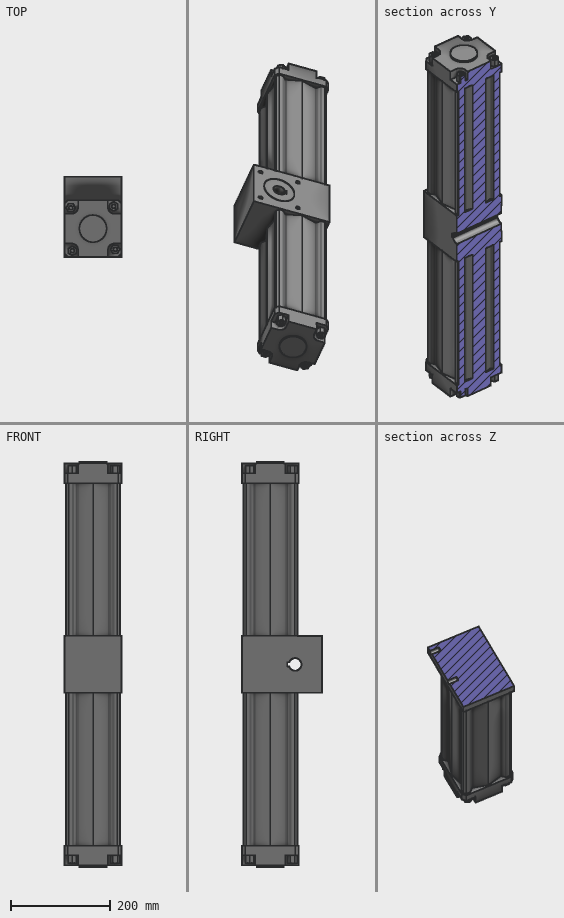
import cadquery as cq
import math

TOTAL_LENGTH = 817.0
CAP_SIDE = 115.0
CAP_HEIGHT = 40.0
CAP_CHAMFER = 7.0

DISC_DIAMETER = 54.8
DISC_HEIGHT = 3.5

POCKET_SIDE = 27.5
POCKET_DEPTH = 20.0
POCKET_RADIUS = 13.0
NUT_NEAR_OFFSET = 41.7
NUT_FAR_OFFSET = 44.8
HEX_SIDES = 6
NUT_CORNER_DIAMETER = 18.63
NUT_HEIGHT = 15.5
NUT_BORE_DIAMETER = 8.0
NUT_BORE_DEPTH = 3.0

RIDGE_PEAK = 55.0
RIDGE_SLOPE = 15.0
LAND_LEVEL = 54.0
LAND_OUTER = 49.0
GROOVE_CENTRE = 32.6
GROOVE_RADIUS = 3.0

BLOCK_WIDTH = CAP_SIDE
BLOCK_DEPTH = 162.0
BLOCK_HEIGHT = 115.0

BORE_OFFSET = 50.0
BORE_DIAMETER = 25.0
KEY_WIDTH = 8.0
KEY_REACH = 15.8
RECESS_DIAMETER = 65.0
RECESS_DEPTH = 1.0

MOUNT_SPACING = 80.0
MOUNT_DIAMETER = 8.0
MOUNT_DEPTH = 20.0

CAP_TOP = TOTAL_LENGTH / 2 - DISC_HEIGHT
CAP_BOTTOM = CAP_TOP - CAP_HEIGHT
QUARTER_TURNS = (0, 90, 180, 270)


def turned(point, degrees):
    """Turn a point of the cross-section about the barrel axis."""
    angle = math.radians(degrees)
    x, y = point
    return (
        x * math.cos(angle) - y * math.sin(angle),
        x * math.sin(angle) + y * math.cos(angle),
    )


def make_barrel():
    """Extruded tube with four shallow ridged sides, grooves and chamfered corners."""
    groove_level = RIDGE_PEAK - GROOVE_CENTRE * math.tan(math.radians(RIDGE_SLOPE))
    land_inner = GROOVE_CENTRE + LAND_LEVEL - groove_level
    side = [
        (-LAND_OUTER, -LAND_LEVEL),
        (-land_inner, -LAND_LEVEL),
        (-GROOVE_CENTRE, -groove_level),
        (0, -RIDGE_PEAK),
        (GROOVE_CENTRE, -groove_level),
        (land_inner, -LAND_LEVEL),
        (LAND_OUTER, -LAND_LEVEL),
    ]
    outline = [turned(point, degrees) for degrees in QUARTER_TURNS for point in side]
    barrel = cq.Workplane("XY").polyline(outline).close().extrude(CAP_BOTTOM, both=True)
    wall_edges = [(GROOVE_CENTRE, groove_level), (land_inner, LAND_LEVEL)]
    for degrees in QUARTER_TURNS:
        for across, out in wall_edges:
            for sign in (-1, 1):
                x, y = turned((sign * across, -out), degrees)
                edge = cq.selectors.NearestToPointSelector((x, y, 0))
                barrel = barrel.edges("|Z").edges(edge).fillet(GROOVE_RADIUS)
    return barrel


def make_nut():
    """Hexagonal tie rod nut, slightly off the cap diagonal, standing on the pocket floor."""
    nut = cq.Workplane("XY").polygon(HEX_SIDES, NUT_CORNER_DIAMETER).extrude(NUT_HEIGHT)
    nut = nut.faces(">Z").workplane().hole(NUT_BORE_DIAMETER, NUT_BORE_DEPTH)
    return nut.translate((NUT_FAR_OFFSET, -NUT_NEAR_OFFSET, CAP_TOP - POCKET_DEPTH))


def make_pocket():
    """Cutter for one open corner pocket with a rounded inner corner."""
    cutter_side = 2 * POCKET_SIDE
    cutter = cq.Workplane("XY").rect(cutter_side, cutter_side).extrude(POCKET_DEPTH)
    cutter = cutter.edges("|Z").fillet(POCKET_RADIUS)
    return cutter.translate((CAP_SIDE / 2, -CAP_SIDE / 2, CAP_TOP - POCKET_DEPTH))


def make_cap():
    """Upper end cap with its disc, corner pockets and nuts."""
    cap = cq.Workplane("XY").workplane(offset=CAP_BOTTOM).rect(CAP_SIDE, CAP_SIDE).extrude(CAP_HEIGHT)
    cap = cap.edges("|Z").chamfer(CAP_CHAMFER)
    cap = cap.faces(">Z").workplane().circle(DISC_DIAMETER / 2).extrude(DISC_HEIGHT)
    pocket = make_pocket()
    nut = make_nut()
    for degrees in QUARTER_TURNS:
        cap = cap.cut(pocket.rotate((0, 0, 0), (0, 0, 1), degrees))
        cap = cap.union(nut.rotate((0, 0, 0), (0, 0, 1), degrees))
    return cap


def make_block():
    """Pinion housing, flush with the caps at -Y and reaching past the barrel at +Y."""
    block = cq.Workplane("XY").box(BLOCK_WIDTH, BLOCK_DEPTH, BLOCK_HEIGHT)
    return block.translate((0, (BLOCK_DEPTH - CAP_SIDE) / 2, 0))


def left_face_plane():
    """Plane on the -X face of the block at the bore centre: local x is +Y, normal is +X."""
    return cq.Workplane(cq.Plane(origin=(-BLOCK_WIDTH / 2, BORE_OFFSET, 0), xDir=(0, 1, 0), normal=(1, 0, 0)))


def cut_bore(body):
    """Through bore with a keyway on its -Y side and a shallow round recess."""
    bore = left_face_plane().circle(BORE_DIAMETER / 2).extrude(BLOCK_WIDTH)
    keyway = left_face_plane().center(-KEY_REACH / 2, 0).rect(KEY_REACH, KEY_WIDTH).extrude(BLOCK_WIDTH)
    recess = left_face_plane().circle(RECESS_DIAMETER / 2).extrude(RECESS_DEPTH)
    return body.cut(bore).cut(keyway).cut(recess)


def cut_mounting_holes(body):
    """Four blind mounting holes around the bore."""
    holes = left_face_plane().rect(MOUNT_SPACING, MOUNT_SPACING, forConstruction=True).vertices()
    return body.cut(holes.circle(MOUNT_DIAMETER / 2).extrude(MOUNT_DEPTH))


upper_cap = make_cap()
lower_cap = upper_cap.mirror("XY")
body = make_barrel().union(make_block()).union(upper_cap).union(lower_cap)
body = cut_bore(body)
result = cut_mounting_holes(body)